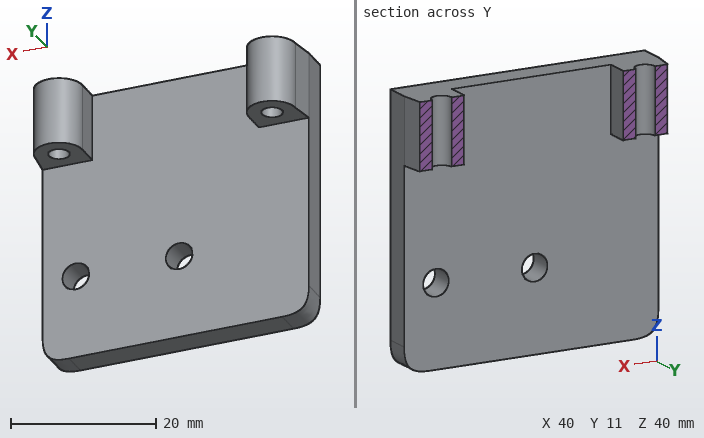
import cadquery as cq

width = 40.0
height = 40.0
plate_thickness = 4.0
corner_length = 4.0
corner_handle = 3.0

mount_hole_diameter = 4.0
mount_hole_height = 12.5
mount_hole_positions = (19.5, 35.0)

total_depth = 11.0
lug_width = 7.0
lug_height = 10.0
lug_radius = lug_width / 2
lug_axis_inset = 4.0
lug_axis_depth = total_depth - lug_radius
pin_hole_diameter = 3.0


def make_plate():
    """Upright plate with softly blended bottom corners and two mounting holes."""
    handle_gap = corner_length - corner_handle
    right_blend = [
        (width - corner_length, 0),
        (width - handle_gap, 0),
        (width, handle_gap),
        (width, corner_length),
    ]
    left_blend = [(0, corner_length), (0, handle_gap), (handle_gap, 0), (corner_length, 0)]
    plate = (
        cq.Workplane("XZ")
        .moveTo(corner_length, 0)
        .lineTo(width - corner_length, 0)
        .bezier(right_blend)
        .lineTo(width, height)
        .lineTo(0, height)
        .lineTo(0, corner_length)
        .bezier(left_blend)
        .close()
        .extrude(-plate_thickness)
    )
    holes = (
        cq.Workplane("XZ")
        .pushPoints([(x, mount_hole_height) for x in mount_hole_positions])
        .circle(mount_hole_diameter / 2)
        .extrude(-plate_thickness)
    )
    return plate.cut(holes)


def make_left_lug():
    """Round-ended lug whose outer flank tapers out to the side of the plate."""
    inner_x = lug_axis_inset + lug_radius
    outer_x = lug_axis_inset - lug_radius
    lug = (
        cq.Workplane("XY", origin=(0, 0, height - lug_height))
        .moveTo(0, 0)
        .lineTo(inner_x, 0)
        .lineTo(inner_x, lug_axis_depth)
        .threePointArc((lug_axis_inset, total_depth), (outer_x, lug_axis_depth))
        .lineTo(0, plate_thickness)
        .close()
        .extrude(lug_height)
    )
    pin_hole = (
        cq.Workplane("XY", origin=(lug_axis_inset, lug_axis_depth, height - lug_height))
        .circle(pin_hole_diameter / 2)
        .extrude(lug_height)
    )
    return lug.cut(pin_hole)


left_lug = make_left_lug()
right_lug = left_lug.mirror("YZ").translate((width, 0, 0))
result = make_plate().union(left_lug).union(right_lug)